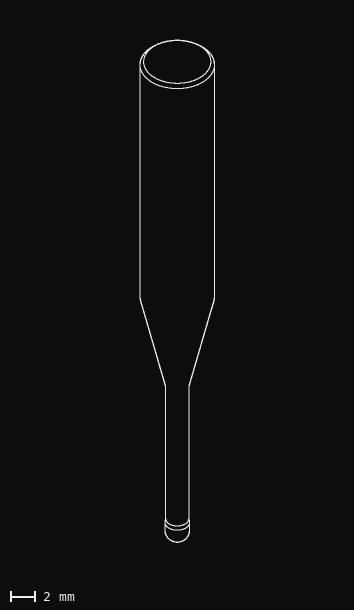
import cadquery as cq

overall_length = 50.0
cone_top = 25.4
cone_bottom = 16.1
head_length = 2.2
land_top = 1.8

shank_radius = 3.0
neck_radius = 0.95
ball_radius = 1.0
head_back_radius = 0.8

bevel_size = 0.3


def revolve_profile(profile):
    """Turn a closed half-profile in the XZ plane around the Z axis."""
    return profile.close().revolve(360, (0, 0, 0), (0, 1, 0))


def make_holder():
    """Bevelled shank, tapering through a cone into the slender neck."""
    profile = (
        cq.Workplane("XZ")
        .moveTo(0, head_length)
        .lineTo(neck_radius, head_length)
        .lineTo(neck_radius, cone_bottom)
        .lineTo(shank_radius, cone_top)
        .lineTo(shank_radius, overall_length - bevel_size)
        .lineTo(shank_radius - bevel_size, overall_length)
        .lineTo(0, overall_length)
    )
    return revolve_profile(profile)


def make_cutting_head():
    """Ball nose with a short cylindrical land and a relieved, conical back."""
    ball_side = ball_radius * 0.5 ** 0.5
    profile = (
        cq.Workplane("XZ")
        .moveTo(0, 0)
        .threePointArc((ball_side, ball_radius - ball_side), (ball_radius, ball_radius))
        .lineTo(ball_radius, land_top)
        .lineTo(head_back_radius, head_length)
        .lineTo(0, head_length)
    )
    return revolve_profile(profile)


holder = make_holder()
cutting_head = make_cutting_head()

result = cq.Compound.makeCompound([holder.val(), cutting_head.val()])